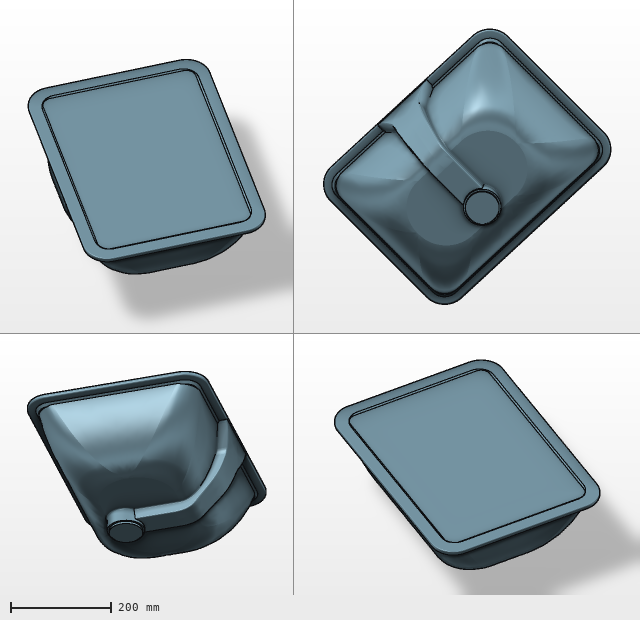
import cadquery as cq
import math


RIM_X = 490.0
RIM_Y = 375.0
RIM_CORNER = 49.0
RIM_THICK = 10.5
RIM_TOP_ROUND = 2.5
RIM_BOTTOM_ROUND = 3.5

BOWL_MARGIN = 19.5
BOWL_DEPTH = 160.5
BOWL_INSET = 89.5
BOWL_CURVE = 1.5
CORNER_GROWTH = 46.5
BOWL_CORNER = 29.5
WALL = 10.0
SECTIONS = 7
ROOT_ROUND = 3.0

FILL_DROP = 2.5
OPENING_CORNER = 32.0
OPENING_FLARE = 4.0

TOTAL_HEIGHT = 195.0
DRAIN_Y = 43.0
BOSS_DIA = 75.0
FOOT_DIA = 67.5
FOOT_HEIGHT = 5.5

CHANNEL_BOTTOM = -183.5
CHANNEL_FRONT = -RIM_Y / 2 + 0.5
CHANNEL_STRAIGHT_Z = -19.5
CHANNEL_FLAT_Y = -63.5
CHANNEL_KNEES = [(-175.0, -74.0), (-161.0, -105.5), (-119.0, -157.0)]
CHANNEL_TOP_Z = -3.5
CHANNEL_SHOULDER_Z = -9.0
CHANNEL_SHOULDER_HALF = 78.5
CHANNEL_TOP_HALF = 66.5
CHANNEL_NECK_HALF = 36.5
CHANNEL_NECK_Z = -63.5
CHANNEL_END_HALF = 26.0
NECK_ROUND = 29.5
SHOULDER_ROUND = 12.2
CHANNEL_EDGE_ROUND = 2.5

PICK_REACH = 0.5
SEAM_TOLERANCE = 0.05
SEAM_PROBE = 0.3


def rounded_box(size_x, size_y, corner, z_low, z_high):
    box = cq.Workplane("XY").workplane(offset=z_low).rect(size_x, size_y).extrude(z_high - z_low)
    return box.edges("|Z").fillet(corner)


def outline_at(half_x, half_y, corner, z):
    outline = cq.Sketch().rect(2 * half_x, 2 * half_y).vertices().fillet(corner)
    return outline.moved(cq.Location(cq.Vector(0, 0, z)))


def bowl_shape(wall, z_top):
    """Loft of the bowl, drawn in from its outside by a wall thickness."""
    depth = BOWL_DEPTH - wall
    half_x = RIM_X / 2 - BOWL_MARGIN - wall
    half_y = RIM_Y / 2 - BOWL_MARGIN - wall
    sections = []
    for i in range(SECTIONS):
        angle = math.pi / 2 * i / (SECTIONS - 1)
        inset = BOWL_INSET * (1 - math.cos(angle))
        z = z_top - (depth + z_top) * math.sin(angle) ** (2 / BOWL_CURVE)
        corner = BOWL_CORNER - wall + CORNER_GROWTH * math.sin(angle)
        sections.append(outline_at(half_x - inset, half_y - inset, corner, z))
    return cq.Workplane("XY").placeSketch(*sections).loft()


def rim():
    plate = rounded_box(RIM_X, RIM_Y, RIM_CORNER, -RIM_THICK, 0)
    return plate.faces(">Z").edges().fillet(RIM_TOP_ROUND).faces("<Z").edges().fillet(RIM_BOTTOM_ROUND)


def edges_along_y(half_x, z):
    """Selects the pair of edges that run along Y at +-half_x and height z."""
    left, right = (
        cq.selectors.BoxSelector(
            (x - PICK_REACH, -PICK_REACH, z - PICK_REACH),
            (x + PICK_REACH, PICK_REACH, z + PICK_REACH),
        )
        for x in (-half_x, half_x)
    )
    return left + right


def seam_round(first, second, radius):
    """Join two shapes and round the edges where their surfaces meet."""
    joined = first.union(second)
    skins = [shape.val().Shells()[0] for shape in (first, second)]
    seam = []
    for edge in joined.edges().vals():
        probe = cq.Vertex.makeVertex(*edge.positionAt(SEAM_PROBE).toTuple())
        if all(skin.distance(probe) < SEAM_TOLERANCE for skin in skins):
            seam.append(edge)
    return joined.newObject(seam).fillet(radius)


def channel():
    """Overflow channel: its side profile, narrowed to its tapering front outline."""
    bend = [(CHANNEL_FRONT, CHANNEL_STRAIGHT_Z), *CHANNEL_KNEES, (CHANNEL_FLAT_Y, CHANNEL_BOTTOM)]
    profile = (
        cq.Workplane("YZ")
        .moveTo(DRAIN_Y, CHANNEL_TOP_Z)
        .lineTo(CHANNEL_FRONT, CHANNEL_TOP_Z)
        .lineTo(*bend[0])
        .spline(bend[1:], tangents=[(0, -1), (1, 0)], includeCurrent=True)
        .lineTo(DRAIN_Y, CHANNEL_BOTTOM)
        .close()
        .extrude(RIM_X / 2, both=True)
    )
    half_outline = [
        (CHANNEL_SHOULDER_HALF, CHANNEL_TOP_Z),
        (CHANNEL_SHOULDER_HALF, CHANNEL_SHOULDER_Z),
        (CHANNEL_TOP_HALF, CHANNEL_SHOULDER_Z),
        (CHANNEL_NECK_HALF, CHANNEL_NECK_Z),
        (CHANNEL_END_HALF, CHANNEL_BOTTOM),
    ]
    mirrored = [(-x, z) for x, z in reversed(half_outline)]
    outline = cq.Workplane("XZ").polyline(half_outline + mirrored).close().extrude(RIM_Y, both=True)
    outline = outline.edges(edges_along_y(CHANNEL_NECK_HALF, CHANNEL_NECK_Z)).fillet(NECK_ROUND)
    outline = outline.edges(edges_along_y(CHANNEL_TOP_HALF, CHANNEL_SHOULDER_Z)).fillet(SHOULDER_ROUND)
    body = profile.intersect(outline)
    front = cq.selectors.BoxSelector((-5, -RIM_Y, 2 * CHANNEL_BOTTOM), (5, 0, -RIM_THICK))
    return body.faces(front).edges("not (|X or |Z)").fillet(CHANNEL_EDGE_ROUND)


def rim_root():
    """Sloping skirt that eases the bowl into the underside of the rim."""
    half_x = RIM_X / 2 - BOWL_MARGIN
    half_y = RIM_Y / 2 - BOWL_MARGIN
    low_z = -RIM_THICK - 2 * ROOT_ROUND
    low = outline_at(half_x - ROOT_ROUND, half_y - ROOT_ROUND, BOWL_CORNER - ROOT_ROUND, low_z)
    high = outline_at(half_x + ROOT_ROUND, half_y + ROOT_ROUND, BOWL_CORNER + ROOT_ROUND, -RIM_THICK)
    return cq.Workplane("XY").placeSketch(low, high).loft()


def drain_boss():
    """Stepped round boss, eased into the bowl floor by a concave round."""
    radius = BOSS_DIA / 2
    foot_radius = FOOT_DIA / 2
    step_z = FOOT_HEIGHT - TOTAL_HEIGHT
    flare_radius = radius + ROOT_ROUND
    return (
        cq.Workplane("XZ")
        .moveTo(0, -TOTAL_HEIGHT)
        .lineTo(foot_radius, -TOTAL_HEIGHT)
        .lineTo(foot_radius, step_z)
        .lineTo(radius, step_z)
        .lineTo(radius, -BOWL_DEPTH - ROOT_ROUND)
        .radiusArc((flare_radius, -BOWL_DEPTH), ROOT_ROUND)
        .lineTo(flare_radius, -BOWL_DEPTH + ROOT_ROUND)
        .lineTo(0, -BOWL_DEPTH + ROOT_ROUND)
        .close()
        .revolve()
        .translate((0, DRAIN_Y, 0))
    )


def opening():
    """Flared mouth between the filling and the rim top."""
    inset = BOWL_MARGIN + WALL
    half_x = RIM_X / 2 - inset
    half_y = RIM_Y / 2 - inset
    low = outline_at(half_x, half_y, BOWL_CORNER - WALL, -FILL_DROP)
    high = outline_at(half_x + OPENING_FLARE, half_y + OPENING_FLARE, OPENING_CORNER, 0)
    return cq.Workplane("XY").placeSketch(low, high).loft()


filling = bowl_shape(WALL, -FILL_DROP)

bowl = bowl_shape(0, 0)
basin = seam_round(bowl, channel(), ROOT_ROUND)
basin = basin.union(rim()).union(rim_root()).union(drain_boss())
basin = basin.cut(filling).cut(opening())

result = cq.Compound.makeCompound([basin.solids().val(), filling.val()])